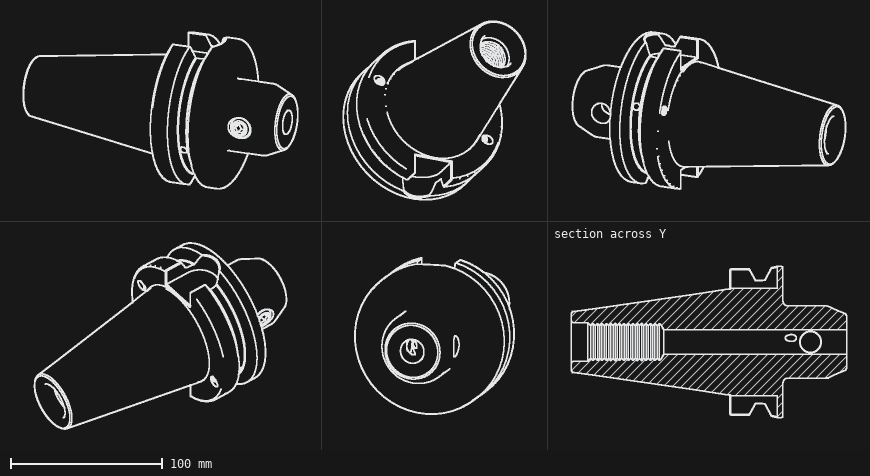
import cadquery as cq
import math

OVERALL_LENGTH = 181.8

TAPER_LENGTH = 102.2
GAUGE_RADIUS = 34.9
TAPER_SLOPE = 7 / 48
TAPER_END_CHAMFER = 0.9
NECK_BLEND_LENGTH = 0.9
NECK_ROOT_FILLET = 0.7

FLANGE_FRONT = 104.7
FLANGE_THICKNESS = 35.0
FLANGE_RADIUS = 50.0
FLANGE_EDGE_FILLET = 1.0
GROOVE_OFFSET = 20.0
GROOVE_FLOOR_RADIUS = 42.5
GROOVE_FLOOR_WIDTH = 6.2
GROOVE_CORNER_FILLET = 0.64
GROOVE_FLANK_ANGLE = 30.0

SLOT_WIDTH = 25.6
SLOT_LENGTH = 31.0
SLOT_FLOOR = 35.5
SLOT_CHAMFER = 0.64

NOSE_RADIUS = 24.0
NOSE_ROOT_FILLET = 3.0
NOSE_CONE_LENGTH = 12.9
NOSE_TIP_RADIUS = 18.4
NOSE_SHOULDER_FILLET = 2.9
NOSE_END_CHAMFER = 0.9

THREAD_DEPTH_RATIO = 0.54

BORE_RADIUS = 8.0
THREAD_RADIUS = 10.5
THREAD_PITCH = 2.9
THREAD_TURNS = 16
COUNTERBORE_RADIUS = 12.5
COUNTERBORE_DEPTH = 11.0
ENTRY_ROUNDING = 2.0
THREAD_END_ANGLE = 60.0

SCREW_FROM_NOSE_END = 24.0
SCREW_RADIUS = 6.9
SCREW_CHAMFER = 1.6
HOLE_MOUTH_RADIUS = 8.2
SOCKET_ACROSS_FLATS = 6.0
SOCKET_MOUTH_RADIUS = 4.2
SOCKET_DEPTH = 7.3

COOLANT_RADIUS = 2.9
COOLANT_PITCH_RADIUS = 41.6
COOLANT_ROTATION = 20.0
COOLANT_TILT = 40.0
COOLANT_THREAD_RADIUS = 2.4
COOLANT_THREAD_PITCH = 1.0
COOLANT_THREAD_TURNS = 8
COOLANT_THREAD_START = 2.2
PLUG_HOLE_RADIUS = 2.4

TOLERANCE = 0.02

FLANGE_BACK = FLANGE_FRONT + FLANGE_THICKNESS
GROOVE_X = FLANGE_FRONT + GROOVE_OFFSET
NOSE_SHOULDER = OVERALL_LENGTH - NOSE_CONE_LENGTH
SCREW_X = OVERALL_LENGTH - SCREW_FROM_NOSE_END
TAPER_END_RADIUS = GAUGE_RADIUS - TAPER_LENGTH * TAPER_SLOPE


def turned(profile):
    """Revolve an (axial, radial) profile around the X axis."""
    return profile.close().revolve(360, (0, 0, 0), (1, 0, 0))


def thread_profile(profile, start, minor_radius, pitch, turns):
    """Extend an (axial, radial) profile with V-shaped thread grooves."""
    major_radius = minor_radius + pitch * THREAD_DEPTH_RATIO
    for turn in range(turns):
        profile = profile.lineTo(start + (turn + 0.5) * pitch, major_radius)
        profile = profile.lineTo(start + (turn + 1) * pitch, minor_radius)
    return profile


def make_shank():
    """Taper blended into a short cylindrical neck, which is filleted against the flange."""
    chamfer_radius = TAPER_END_RADIUS + TAPER_END_CHAMFER * TAPER_SLOPE
    taper_angle = math.atan(TAPER_SLOPE)
    blend_radius = NECK_BLEND_LENGTH / math.sin(taper_angle)
    neck_radius = GAUGE_RADIUS + NECK_BLEND_LENGTH * math.tan(taper_angle / 2)
    fillet_start = FLANGE_FRONT - NECK_ROOT_FILLET
    return turned(
        cq.Workplane("XY")
        .lineTo(0, TAPER_END_RADIUS - TAPER_END_CHAMFER)
        .lineTo(TAPER_END_CHAMFER, chamfer_radius)
        .lineTo(TAPER_LENGTH, GAUGE_RADIUS)
        .radiusArc((TAPER_LENGTH + NECK_BLEND_LENGTH, neck_radius), blend_radius)
        .lineTo(fillet_start, neck_radius)
        .radiusArc((FLANGE_FRONT, neck_radius + NECK_ROOT_FILLET), -NECK_ROOT_FILLET)
        .lineTo(FLANGE_FRONT, 0)
    )


def make_nose():
    """Cylinder behind the flange, blended into a cone with a chamfered end."""
    nose = turned(
        cq.Workplane("XY")
        .moveTo(FLANGE_BACK, 0)
        .lineTo(FLANGE_BACK, NOSE_RADIUS + NOSE_ROOT_FILLET)
        .radiusArc((FLANGE_BACK + NOSE_ROOT_FILLET, NOSE_RADIUS), -NOSE_ROOT_FILLET)
        .lineTo(NOSE_SHOULDER, NOSE_RADIUS)
        .lineTo(OVERALL_LENGTH, NOSE_TIP_RADIUS)
        .lineTo(OVERALL_LENGTH, 0)
    )
    shoulder = cq.selectors.BoxSelector(
        (NOSE_SHOULDER - TOLERANCE, -NOSE_RADIUS, -NOSE_RADIUS),
        (NOSE_SHOULDER + TOLERANCE, NOSE_RADIUS, NOSE_RADIUS),
    )
    nose = nose.edges(shoulder).fillet(NOSE_SHOULDER_FILLET)
    return nose.faces(">X").edges().chamfer(NOSE_END_CHAMFER)


def drive_slot(side):
    """Round-ended slot cutter, open to the taper side; side is +1 for +Z and -1 for -Z."""
    half_width = SLOT_WIDTH / 2
    arc_start = FLANGE_FRONT + SLOT_LENGTH - half_width
    return (
        cq.Workplane("XY", origin=(0, 0, side * SLOT_FLOOR))
        .moveTo(FLANGE_FRONT, -half_width)
        .lineTo(arc_start, -half_width)
        .threePointArc((FLANGE_FRONT + SLOT_LENGTH, 0), (arc_start, half_width))
        .lineTo(FLANGE_FRONT, half_width)
        .close()
        .extrude(side * FLANGE_RADIUS)
    )


def gripper_groove():
    """V-groove ring cutter with a flat floor and rounded floor corners."""
    depth = FLANGE_RADIUS - GROOVE_FLOOR_RADIUS
    half_floor = GROOVE_FLOOR_WIDTH / 2
    half_mouth = half_floor + depth * math.tan(math.radians(GROOVE_FLANK_ANGLE))
    ring = turned(
        cq.Workplane("XY")
        .moveTo(GROOVE_X - half_floor, GROOVE_FLOOR_RADIUS)
        .lineTo(GROOVE_X - half_mouth, FLANGE_RADIUS)
        .lineTo(GROOVE_X + half_mouth, FLANGE_RADIUS)
        .lineTo(GROOVE_X + half_floor, GROOVE_FLOOR_RADIUS)
    )
    floor_corners = cq.selectors.RadiusNthSelector(0)
    return ring.edges(floor_corners).fillet(GROOVE_CORNER_FILLET)


def is_slot_mouth(edge):
    """True for slot edges on the flange's taper-side face and on its rim."""
    middle = edge.positionAt(0.5)
    near_slot = abs(middle.y) < SLOT_WIDTH / 2 + TOLERANCE and abs(middle.z) > SLOT_FLOOR - TOLERANCE
    on_front = all(abs(corner.X - FLANGE_FRONT) < TOLERANCE for corner in edge.Vertices())
    on_rim = abs(math.hypot(middle.y, middle.z) - FLANGE_RADIUS) < TOLERANCE
    return near_slot and (on_front or on_rim)


def flange_disc():
    """Plain flange disc, before its rims are rounded."""
    return cq.Workplane("YZ", origin=(FLANGE_FRONT, 0, 0)).circle(FLANGE_RADIUS).extrude(FLANGE_THICKNESS)


def make_flange():
    """Disc with two chamfered drive slots, rounded rims and the gripper groove."""
    flange = flange_disc()
    for side in (1, -1):
        flange = flange.cut(drive_slot(side))
    mouth_edges = [edge for edge in flange.edges().vals() if is_slot_mouth(edge)]
    flange = flange.newObject(mouth_edges).chamfer(SLOT_CHAMFER)
    rounded_disc = flange_disc().edges().fillet(FLANGE_EDGE_FILLET)
    return flange.intersect(rounded_disc).cut(gripper_groove())


def axial_bore():
    """Through bore; at the taper end a rounded entry, a counterbore and the drawbar thread."""
    lead_in = COUNTERBORE_RADIUS - THREAD_RADIUS
    thread_end_length = (THREAD_RADIUS - BORE_RADIUS) / math.tan(math.radians(THREAD_END_ANGLE))
    thread_start = COUNTERBORE_DEPTH + lead_in
    thread_end = thread_start + THREAD_TURNS * THREAD_PITCH
    entry = (
        cq.Workplane("XY")
        .lineTo(0, COUNTERBORE_RADIUS + ENTRY_ROUNDING)
        .radiusArc((ENTRY_ROUNDING, COUNTERBORE_RADIUS), -ENTRY_ROUNDING)
        .lineTo(COUNTERBORE_DEPTH, COUNTERBORE_RADIUS)
        .lineTo(thread_start, THREAD_RADIUS)
    )
    threaded = thread_profile(entry, thread_start, THREAD_RADIUS, THREAD_PITCH, THREAD_TURNS)
    return turned(
        threaded.lineTo(thread_end + thread_end_length, BORE_RADIUS)
        .lineTo(OVERALL_LENGTH, BORE_RADIUS)
        .lineTo(OVERALL_LENGTH, 0)
    )


def screw_hole():
    """Cross hole through both nose walls, countersunk at the screw side (-Y)."""
    hole = (
        cq.Workplane("XZ", origin=(SCREW_X, 0, 0))
        .circle(SCREW_RADIUS)
        .extrude(NOSE_RADIUS, both=True)
    )
    mouth_depth = HOLE_MOUTH_RADIUS - SCREW_RADIUS
    countersink = cq.Solid.makeCone(
        HOLE_MOUTH_RADIUS,
        SCREW_RADIUS,
        mouth_depth,
        cq.Vector(SCREW_X, -NOSE_RADIUS, 0),
        cq.Vector(0, 1, 0),
    )
    return hole.union(cq.Workplane(countersink))


def coolant_channel():
    """Slanted, partly threaded channel from the flange face to the bore, and a radial plug hole."""
    tilt = math.radians(COOLANT_TILT)
    run_in = 2 * COOLANT_RADIUS
    length = COOLANT_PITCH_RADIUS / math.sin(tilt)
    mouth = (
        cq.Workplane("XY")
        .moveTo(-run_in, 0)
        .lineTo(-run_in, COOLANT_RADIUS)
        .lineTo(COOLANT_THREAD_START, COOLANT_RADIUS)
        .lineTo(COOLANT_THREAD_START, COOLANT_THREAD_RADIUS)
    )
    threaded = thread_profile(
        mouth, COOLANT_THREAD_START, COOLANT_THREAD_RADIUS, COOLANT_THREAD_PITCH, COOLANT_THREAD_TURNS
    )
    channel = (
        turned(threaded.lineTo(length, COOLANT_THREAD_RADIUS).lineTo(length, 0))
        .rotate((0, 0, 0), (0, 1, 0), COOLANT_TILT)
        .translate((FLANGE_FRONT, 0, COOLANT_PITCH_RADIUS))
    )
    meeting_radius = COOLANT_PITCH_RADIUS - GROOVE_OFFSET * math.tan(tilt)
    plug_hole = (
        cq.Workplane("XY", origin=(GROOVE_X, 0, meeting_radius))
        .circle(PLUG_HOLE_RADIUS)
        .extrude(FLANGE_RADIUS - meeting_radius)
    )
    return channel.union(plug_hole)


def make_holder():
    """Tool holder body with its bore, screw hole and two opposite coolant channels."""
    holder = make_shank().union(make_flange()).union(make_nose())
    holder = holder.cut(axial_bore()).cut(screw_hole())
    for half_turn in (0, 180):
        rotation = COOLANT_ROTATION - 90 + half_turn
        holder = holder.cut(coolant_channel().rotate((0, 0, 0), (1, 0, 0), rotation))
    return holder


def make_clamp_screw():
    """Flat-ended set screw filling the -Y side of the cross hole, with a hex socket."""
    length = NOSE_RADIUS - BORE_RADIUS
    screw = (
        cq.Workplane("XZ", origin=(SCREW_X, -BORE_RADIUS, 0))
        .circle(SCREW_RADIUS)
        .extrude(length)
        .faces("<Y")
        .chamfer(SCREW_CHAMFER)
    )
    hex_diameter = SOCKET_ACROSS_FLATS / math.cos(math.radians(30))
    socket = (
        cq.Workplane("XZ", origin=(SCREW_X, -NOSE_RADIUS, 0))
        .polygon(6, hex_diameter)
        .extrude(-SOCKET_DEPTH)
    )
    mouth = cq.Solid.makeCone(
        SOCKET_MOUTH_RADIUS,
        0,
        SOCKET_MOUTH_RADIUS,
        cq.Vector(SCREW_X, -NOSE_RADIUS, 0),
        cq.Vector(0, 1, 0),
    )
    return screw.cut(socket).cut(cq.Workplane(mouth))


holder = make_holder()
clamp_screw = make_clamp_screw()
result = cq.Compound.makeCompound([holder.val(), clamp_screw.val()])